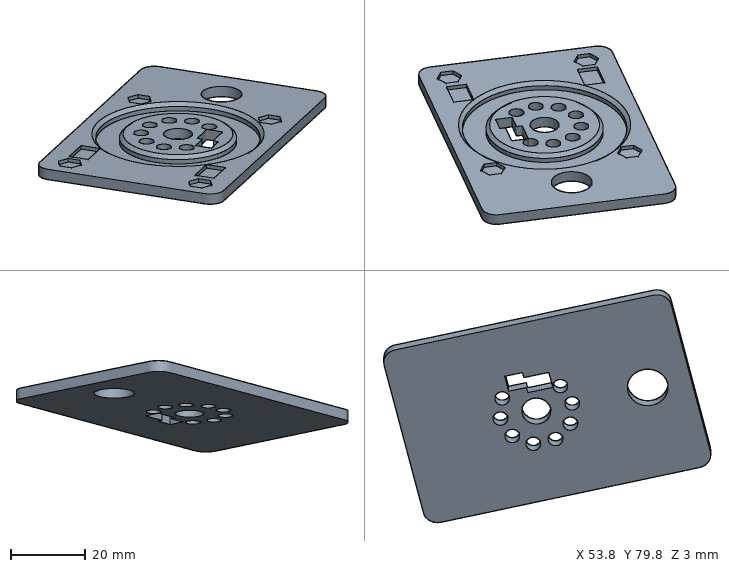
import cadquery as cq

plate_width = 53.75
plate_length = 79.75
plate_thickness = 3.0
corner_radius = 4

dial_center_y = -3.0
groove_outer_diameter = 44.5
boss_diameter = 31.75
groove_depth = 2.3
groove_chamfer = 1.0

cable_hole_diameter = 11.0
cable_hole_y = 27.9
shaft_hole_diameter = 7.8
ring_hole_diameter = 4
ring_hole_circle_radius = 10.0
ring_hole_step = 36
first_ring_hole_angle = 54
ring_hole_count = 8

slot_width = 4.6
slot_upper_left = 6.0
slot_lower_left = 7.6
slot_top = 6.0
slot_step = -0.95
slot_bottom = -5.9
slot_corner_radius = 0.3

hex_sides = 6
hex_across_corners = 6.8
hex_center_x = 19.1
hex_upper_y = 16.0
hex_lower_y = -33.5
hex_depth = 1.0

pocket_width = 5.6
pocket_center_x = 18.3
left_pocket_length = 8.5
left_pocket_top = -20.65
right_pocket_length = 8.3
right_pocket_top = -20.4
pocket_depth = 1.0


def plate():
    blank = cq.Workplane("XY").box(plate_width, plate_length, plate_thickness, centered=(True, True, False))
    return blank.edges("|Z").fillet(corner_radius)


def groove():
    """Revolved ring whose two walls flare outward at the top face."""
    inner_radius = boss_diameter / 2
    outer_radius = groove_outer_diameter / 2
    floor_z = plate_thickness - groove_depth
    chamfer_z = plate_thickness - groove_chamfer
    profile = (
        cq.Workplane("XZ")
        .moveTo(inner_radius, floor_z)
        .lineTo(outer_radius, floor_z)
        .lineTo(outer_radius, chamfer_z)
        .lineTo(outer_radius + groove_chamfer, plate_thickness)
        .lineTo(inner_radius - groove_chamfer, plate_thickness)
        .lineTo(inner_radius, chamfer_z)
        .close()
    )
    return profile.revolve(360, (0, 0, 0), (0, 1, 0)).translate((0, dial_center_y, 0))


def round_hole(diameter, center_y):
    return cq.Workplane("XY").center(0, center_y).circle(diameter / 2).extrude(plate_thickness)


def ring_holes():
    """Ring of holes around the boss centre, left open where the slot sits."""
    centers = cq.Workplane("XY").center(0, dial_center_y).polarArray(
        ring_hole_circle_radius,
        first_ring_hole_angle,
        ring_hole_step,
        ring_hole_count,
        fill=False,
    )
    return centers.circle(ring_hole_diameter / 2).extrude(plate_thickness)


def stepped_slot():
    outline = [
        (slot_upper_left, slot_top),
        (slot_upper_left + slot_width, slot_top),
        (slot_upper_left + slot_width, slot_step),
        (slot_lower_left + slot_width, slot_step),
        (slot_lower_left + slot_width, slot_bottom),
        (slot_lower_left, slot_bottom),
        (slot_lower_left, slot_step),
        (slot_upper_left, slot_step),
    ]
    slot = cq.Workplane("XY").center(0, dial_center_y).polyline(outline).close().extrude(plate_thickness)
    return slot.edges("|Z and (not <Y)").fillet(slot_corner_radius)


def hex_recesses():
    centers = [(x, y) for x in (-hex_center_x, hex_center_x) for y in (hex_lower_y, hex_upper_y)]
    floor = cq.Workplane("XY").workplane(offset=plate_thickness - hex_depth)
    return floor.pushPoints(centers).polygon(hex_sides, hex_across_corners).extrude(hex_depth)


def pocket(center_x, top_y, length):
    floor = cq.Workplane("XY").workplane(offset=plate_thickness - pocket_depth)
    return floor.center(center_x, top_y - length / 2).rect(pocket_width, length).extrude(pocket_depth)


result = (
    plate()
    .cut(groove())
    .cut(round_hole(cable_hole_diameter, cable_hole_y))
    .cut(round_hole(shaft_hole_diameter, dial_center_y))
    .cut(ring_holes())
    .cut(stepped_slot())
    .cut(hex_recesses())
    .cut(pocket(-pocket_center_x, left_pocket_top, left_pocket_length))
    .cut(pocket(pocket_center_x, right_pocket_top, right_pocket_length))
)